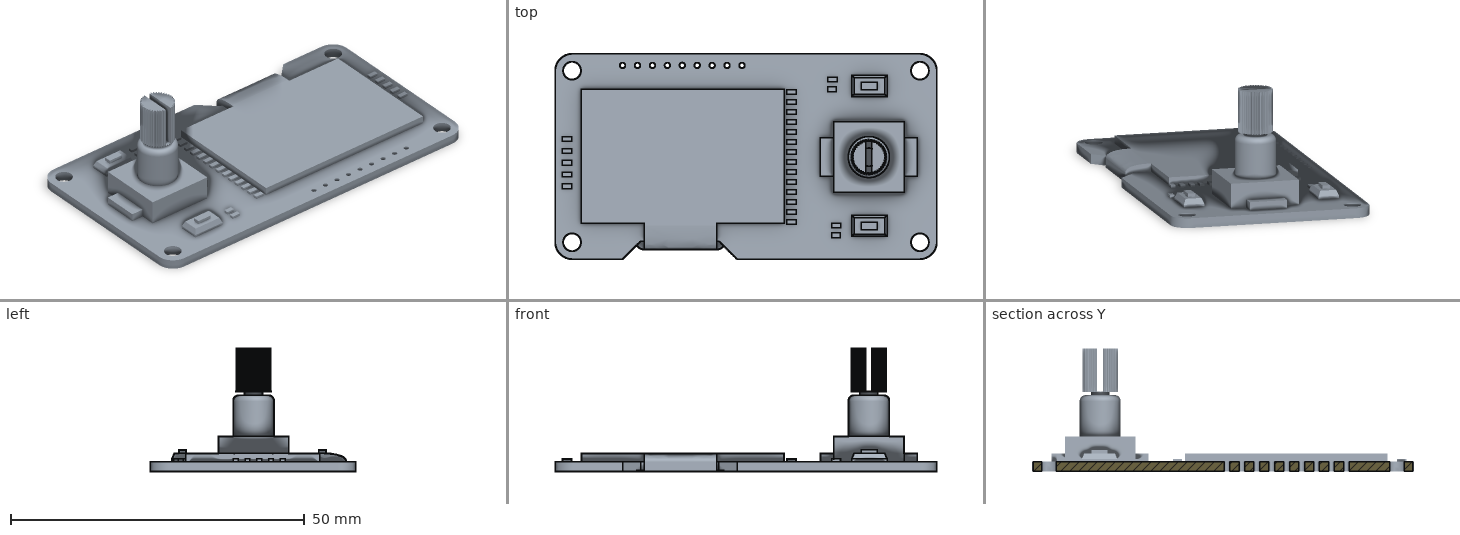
import cadquery as cq
import math


BOARD_LENGTH = 65.0
BOARD_WIDTH = 35.0
BOARD_THICKNESS = 1.7
CORNER_RADIUS = 3.0
MOUNT_HOLE_DIAMETER = 3.0
MOUNT_HOLE_INSET = 2.9

HEADER_COUNT = 9
HEADER_PITCH = 2.54
HEADER_HOLE_DIAMETER = 0.9
HEADER_FIRST_X = 11.5
HEADER_Y = 33.0

NOTCH_LEFT = 11.5
NOTCH_RIGHT = 31.0
NOTCH_DEPTH = 3.1

DISPLAY_LEFT = 4.5
DISPLAY_FRONT = 6.15
DISPLAY_LENGTH = 34.5
DISPLAY_WIDTH = 22.8
DISPLAY_HEIGHT = 1.4

RIBBON_LEFT = 15.2
RIBBON_RIGHT = 27.5
RIBBON_FRONT = 1.65
RIBBON_BEND_START = 5.75
RIBBON_BEND_FULLNESS = 0.64
TAIL_THICKNESS = 0.2
TAIL_CORNER_RADIUS = 1.5

ENCODER_X = 53.4
ENCODER_Y = 17.4
ENCODER_BODY_SIZE = 12.0
ENCODER_BODY_HEIGHT = 4.3
TAB_SPAN = 16.5
TAB_WIDTH = 6.6
TAB_HEIGHT = 1.4
BUSHING_DIAMETER = 7.0
BUSHING_HEIGHT = 7.0
BUSHING_FILLET = 1.0
NECK_DIAMETER = 3.1
NECK_HEIGHT = 0.55
KNURL_DIAMETER = 6.0
KNURL_LENGTH = 7.4
KNURL_TEETH = 40
KNURL_TOOTH_DEPTH = 0.3
SLOT_WIDTH = 1.0
SLOT_FLOOR = 0.1

BUTTON_X = 53.5
BUTTON_CENTRES_Y = (5.7, 29.5)
BUTTON_LENGTH = 6.0
BUTTON_WIDTH = 3.6
BUTTON_BASE_HEIGHT = 0.45
BUTTON_HEIGHT = 1.4
BUTTON_TAPER_INSET = 0.4
PLUNGER_LENGTH = 2.7
PLUNGER_WIDTH = 1.25
PLUNGER_HEIGHT = 0.6

CHIP_LENGTH = 1.6
SHORT_CHIP_LENGTH = 1.45
CHIP_WIDTH = 0.8
CHIP_HEIGHT = 0.45
RIGHT_COLUMN_X = 40.25
RIGHT_COLUMN_FIRST_Y = 6.35
RIGHT_COLUMN_PITCH = 1.7
RIGHT_COLUMN_COUNT = 14
LEFT_COLUMN_X = 2.05
LEFT_COLUMN_FIRST_Y = 12.45
LEFT_COLUMN_PITCH = 2.0
LEFT_COLUMN_COUNT = 5
PAIR_PITCH = 1.65
CHIP_PAIRS = ((47.05, 5.75), (46.4, 30.6))


def block(length, width, height, x, y, z):
    """Box centred on (x, y) with its underside at z."""
    box = cq.Workplane("XY").box(length, width, height, centered=(True, True, False))
    return box.translate((x, y, z))


def make_board():
    centre = (BOARD_LENGTH / 2, BOARD_WIDTH / 2)
    board = block(BOARD_LENGTH, BOARD_WIDTH, BOARD_THICKNESS, *centre, 0)
    board = board.edges("|Z").fillet(CORNER_RADIUS)
    notch = (
        cq.Workplane("XY")
        .moveTo(NOTCH_LEFT, 0)
        .lineTo(NOTCH_LEFT + NOTCH_DEPTH, NOTCH_DEPTH)
        .lineTo(NOTCH_RIGHT - NOTCH_DEPTH, NOTCH_DEPTH)
        .lineTo(NOTCH_RIGHT, 0)
        .close()
        .extrude(BOARD_THICKNESS)
    )
    mount_holes = (
        cq.Workplane("XY")
        .center(*centre)
        .rect(BOARD_LENGTH - 2 * MOUNT_HOLE_INSET, BOARD_WIDTH - 2 * MOUNT_HOLE_INSET, forConstruction=True)
        .vertices()
        .circle(MOUNT_HOLE_DIAMETER / 2)
        .extrude(BOARD_THICKNESS)
    )
    header_points = [(HEADER_FIRST_X + i * HEADER_PITCH, HEADER_Y) for i in range(HEADER_COUNT)]
    header_holes = (
        cq.Workplane("XY")
        .pushPoints(header_points)
        .circle(HEADER_HOLE_DIAMETER / 2)
        .extrude(BOARD_THICKNESS)
    )
    return board.cut(notch).cut(mount_holes).cut(header_holes)


def make_display():
    glass = cq.Workplane("XY").box(DISPLAY_LENGTH, DISPLAY_WIDTH, DISPLAY_HEIGHT, centered=False)
    return glass.translate((DISPLAY_LEFT, DISPLAY_FRONT, BOARD_THICKNESS))


def make_ribbon():
    """Ribbon bending from the glass top down into the notch, flush with the notch wall."""
    top = BOARD_THICKNESS + DISPLAY_HEIGHT
    bend_run = RIBBON_BEND_START - RIBBON_FRONT
    bend_curve = (
        (RIBBON_FRONT, BOARD_THICKNESS),
        (RIBBON_FRONT, BOARD_THICKNESS + RIBBON_BEND_FULLNESS * DISPLAY_HEIGHT),
        (RIBBON_BEND_START - RIBBON_BEND_FULLNESS * bend_run, top),
        (RIBBON_BEND_START, top),
    )
    return (
        cq.Workplane("YZ", origin=(RIBBON_LEFT, 0, 0))
        .moveTo(NOTCH_DEPTH, 0)
        .lineTo(RIBBON_FRONT, 0)
        .lineTo(RIBBON_FRONT, BOARD_THICKNESS)
        .bezier(bend_curve)
        .lineTo(DISPLAY_FRONT, top)
        .lineTo(DISPLAY_FRONT, BOARD_THICKNESS)
        .lineTo(NOTCH_DEPTH, BOARD_THICKNESS)
        .close()
        .extrude(RIBBON_RIGHT - RIBBON_LEFT)
    )


def make_ribbon_tail():
    """Thin tail at the foot of the ribbon, with rounded front corners, level with the underside."""
    length = RIBBON_RIGHT - RIBBON_LEFT + 2 * TAIL_CORNER_RADIUS
    width = 2 * TAIL_CORNER_RADIUS
    centre_x = (RIBBON_LEFT + RIBBON_RIGHT) / 2
    tail = block(length, width, TAIL_THICKNESS, centre_x, RIBBON_FRONT + width / 2, 0)
    return tail.edges("|Z and <Y").fillet(TAIL_CORNER_RADIUS)


def make_knurl(base_z):
    """Toothed shaft end with trapezoidal teeth and a screwdriver slot."""
    tip_radius = KNURL_DIAMETER / 2
    root_radius = tip_radius - KNURL_TOOTH_DEPTH
    tooth_angle = 2 * math.pi / KNURL_TEETH
    quarter_radii = (tip_radius, tip_radius, root_radius, root_radius)
    points = []
    for tooth in range(KNURL_TEETH):
        for quarter, radius in enumerate(quarter_radii):
            angle = (tooth + quarter / len(quarter_radii)) * tooth_angle
            points.append((radius * math.cos(angle), radius * math.sin(angle)))
    knurl = cq.Workplane("XY").polyline(points).close().extrude(KNURL_LENGTH)
    slot = block(SLOT_WIDTH, KNURL_DIAMETER, KNURL_LENGTH, 0, 0, SLOT_FLOOR)
    return knurl.cut(slot).translate((ENCODER_X, ENCODER_Y, base_z))


def make_encoder():
    body_top = BOARD_THICKNESS + ENCODER_BODY_HEIGHT
    bushing_top = body_top + BUSHING_HEIGHT
    place = (ENCODER_X, ENCODER_Y)
    body = block(ENCODER_BODY_SIZE, ENCODER_BODY_SIZE, ENCODER_BODY_HEIGHT, *place, BOARD_THICKNESS)
    tabs = block(TAB_SPAN, TAB_WIDTH, TAB_HEIGHT, *place, BOARD_THICKNESS)
    bushing = (
        cq.Workplane("XY")
        .circle(BUSHING_DIAMETER / 2)
        .extrude(BUSHING_HEIGHT)
        .faces(">Z")
        .edges()
        .fillet(BUSHING_FILLET)
        .translate((*place, body_top))
    )
    neck = (
        cq.Workplane("XY")
        .circle(NECK_DIAMETER / 2)
        .extrude(NECK_HEIGHT)
        .translate((*place, bushing_top))
    )
    knurl = make_knurl(bushing_top + NECK_HEIGHT)
    return body.union(tabs).union(bushing).union(neck).union(knurl)


def make_button(y):
    base = block(BUTTON_LENGTH, BUTTON_WIDTH, BUTTON_BASE_HEIGHT, BUTTON_X, y, BOARD_THICKNESS)
    taper_height = BUTTON_HEIGHT - BUTTON_BASE_HEIGHT
    taper_angle = math.degrees(math.atan2(BUTTON_TAPER_INSET, taper_height))
    cap = (
        cq.Workplane("XY")
        .rect(BUTTON_LENGTH, BUTTON_WIDTH)
        .extrude(taper_height, taper=taper_angle)
        .translate((BUTTON_X, y, BOARD_THICKNESS + BUTTON_BASE_HEIGHT))
    )
    plunger_z = BOARD_THICKNESS + BUTTON_HEIGHT
    plunger = block(PLUNGER_LENGTH, PLUNGER_WIDTH, PLUNGER_HEIGHT, BUTTON_X, y, plunger_z)
    return base.union(cap).union(plunger)


def make_chip(x, y, length=CHIP_LENGTH):
    return block(length, CHIP_WIDTH, CHIP_HEIGHT, x, y, BOARD_THICKNESS)


def make_chips():
    chips = []
    for i in range(RIGHT_COLUMN_COUNT):
        chips.append(make_chip(RIGHT_COLUMN_X, RIGHT_COLUMN_FIRST_Y + i * RIGHT_COLUMN_PITCH))
    for i in range(LEFT_COLUMN_COUNT):
        chips.append(make_chip(LEFT_COLUMN_X, LEFT_COLUMN_FIRST_Y + i * LEFT_COLUMN_PITCH))
    for left, rear_y in CHIP_PAIRS:
        chips.append(make_chip(left + CHIP_LENGTH / 2, rear_y))
        chips.append(make_chip(left + SHORT_CHIP_LENGTH / 2, rear_y - PAIR_PITCH, SHORT_CHIP_LENGTH))
    return chips


result = make_board().union(make_display()).union(make_ribbon()).union(make_ribbon_tail())
result = result.union(make_encoder())
for button_y in BUTTON_CENTRES_Y:
    result = result.union(make_button(button_y))
for chip in make_chips():
    result = result.union(chip)